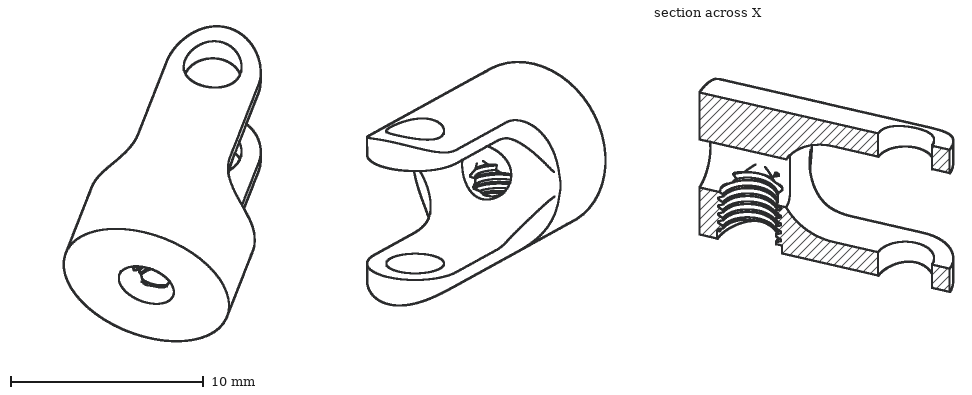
import cadquery as cq
import math

body_diameter = 9.0
body_radius = body_diameter / 2
length = 14.0
bore_diameter = 3.0

arm_width = 5.0
arm_half_width = arm_width / 2
pin_hole_diameter = 3.0
pin_y = length - arm_half_width
shoulder_y = 4.5
shoulder_radius = body_radius - arm_half_width
slot_bottom_y = 4.45
slot_width = 6.0
slot_radius = slot_width / 2

screw_y = 2.8
thread_major_radius = 1.75
thread_pitch = 0.5
thread_depth = 0.27
thread_minor_radius = thread_major_radius - thread_depth
groove_floor_width = thread_pitch / 8
groove_opening_width = thread_pitch * 0.8
groove_lead_in = 0.75 * thread_pitch
groove_start_angle = -50.0
thread_top_z = -0.6
mouth_radius = 1.8
mouth_depth = 0.5
groove_overlap = 0.05

overshoot = 1.0


def make_barrel():
    """Solid round bar from Y = 0 to the fork tips."""
    return cq.Workplane("XZ").circle(body_radius).extrude(-length)


def make_plan_outline():
    """Plan shape in XY, full height: wide base, filleted shoulders, rounded arm tip."""
    fillet_mid = shoulder_radius * math.sqrt(0.5)
    fillet_center_y = shoulder_y + shoulder_radius
    return (
        cq.Workplane("XY")
        .moveTo(-body_radius, 0)
        .lineTo(body_radius, 0)
        .lineTo(body_radius, shoulder_y)
        .threePointArc(
            (body_radius - fillet_mid, fillet_center_y - fillet_mid),
            (arm_half_width, fillet_center_y),
        )
        .lineTo(arm_half_width, pin_y)
        .threePointArc((0, length), (-arm_half_width, pin_y))
        .lineTo(-arm_half_width, fillet_center_y)
        .threePointArc(
            (-body_radius + fillet_mid, fillet_center_y - fillet_mid),
            (-body_radius, shoulder_y),
        )
        .close()
        .extrude(body_radius, both=True)
    )


def make_fork_slot():
    """Gap between the arms, with a full-round bottom, running through along X."""
    slot_center_y = slot_bottom_y + slot_radius
    slot_end_y = length + overshoot
    return (
        cq.Workplane("YZ")
        .moveTo(slot_end_y, -slot_radius)
        .lineTo(slot_center_y, -slot_radius)
        .threePointArc((slot_bottom_y, 0), (slot_center_y, slot_radius))
        .lineTo(slot_end_y, slot_radius)
        .close()
        .extrude(body_radius + overshoot, both=True)
    )


def make_bore():
    """Axial hole from the flat end through to the fork slot."""
    return cq.Workplane("XZ").circle(bore_diameter / 2).extrude(-length)


def make_pin_hole():
    """Cross hole along Z through both arms."""
    return (
        cq.Workplane("XY")
        .center(0, pin_y)
        .circle(pin_hole_diameter / 2)
        .extrude(body_radius + overshoot, both=True)
    )


def make_screw_hole():
    """Tap drill hole along Z, from below the barrel up to the bore axis."""
    hole_start = -body_radius - overshoot
    return (
        cq.Workplane("XY", origin=(0, screw_y, hole_start))
        .circle(thread_minor_radius)
        .extrude(-hole_start)
    )


def make_screw_mouth():
    """Plain counterbore that clears the thread's major diameter, just inside the barrel surface."""
    mouth_start = -body_radius - overshoot
    return (
        cq.Workplane("XY", origin=(0, screw_y, mouth_start))
        .circle(mouth_radius)
        .extrude(mouth_depth + overshoot)
    )


def make_thread_groove():
    """Right-hand helical cutter: ruled faces between helices through the corners of a trapezoid."""
    inner_radius = thread_minor_radius - groove_overlap
    opening_half = groove_opening_width / 2
    floor_half = groove_floor_width / 2
    section = [
        (inner_radius, -opening_half),
        (thread_major_radius, -floor_half),
        (thread_major_radius, floor_half),
        (inner_radius, opening_half),
    ]
    groove_start = -body_radius + mouth_depth - groove_lead_in
    groove_height = thread_top_z - groove_start
    helices = [
        cq.Wire.makeHelix(thread_pitch, groove_height, radius, cq.Vector(0, 0, height))
        for radius, height in section
    ]
    flanks = [
        cq.Face.makeRuledSurface(helices[i - 1], helices[i])
        for i in range(len(helices))
    ]
    ends = []
    for position in (0, 1):
        corners = [helix.positionAt(position) for helix in helices]
        ends.append(cq.Face.makeFromWires(cq.Wire.makePolygon(corners, close=True)))
    groove = cq.Solid.makeSolid(cq.Shell.makeShell(flanks + ends))
    groove = groove.rotate(cq.Vector(), cq.Vector(0, 0, 1), groove_start_angle)
    return groove.translate(cq.Vector(0, screw_y, groove_start))


result = (
    make_barrel()
    .intersect(make_plan_outline())
    .cut(make_fork_slot())
    .cut(make_pin_hole())
    .cut(make_screw_mouth())
    .cut(cq.Workplane(obj=make_thread_groove()), clean=False)
    .cut(make_screw_hole(), clean=False)
    .cut(make_bore(), clean=False)
)